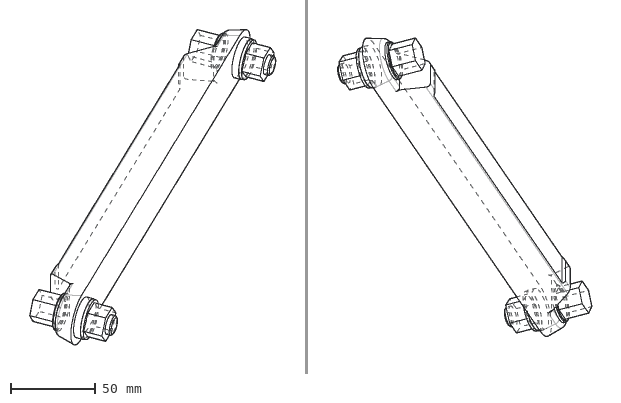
import cadquery as cq
import math

length = 288.0
bar_width = 34.0
draft_angle = 15.0
bar_height = 28.0
pad_height = 12.0
edge_radius = 3.02
bolt_offset = (length - bar_width) / 2

slope_foot = 115.8
slope_angle = 30.0
slope_top = slope_foot - (bar_height - pad_height) * math.tan(math.radians(slope_angle))

recess_depth = 1.5
recess_floor_half = 97.5
recess_mouth_half = 99.5

head_diameter = 20.0
head_end = 29.0
flange_diameter = 23.0
flange_thickness = 2.0
flange_chamfer = 0.5

washer_diameter = 25.0
washer_thickness = 4.3
nut_collar_diameter = 24.5
nut_start = 6.0
nut_end = 17.5
nut_point_width = 22.8
nut_flat_width = 18.5
nut_flat_length = 10.5
stud_diameter = 12.0
stud_end = 21.0
stud_chamfer = 1.0


def tapered_bar(height):
    """Round-ended bar with drafted sides and a rounded upper rim."""
    bar = (
        cq.Workplane("YZ")
        .slot2D(length, bar_width)
        .extrude(-height, taper=draft_angle)
    )
    return bar.faces("<X").edges().fillet(edge_radius)


def side_prism(points):
    """Prism through the whole bar width from an outline in X and Y."""
    return cq.Workplane("XY").polyline(points).close().extrude(bar_width, both=True)


def make_bar():
    middle = side_prism([
        (0, -slope_foot),
        (-pad_height, -slope_foot),
        (-bar_height, -slope_top),
        (-bar_height, slope_top),
        (-pad_height, slope_foot),
        (0, slope_foot),
    ])
    recess_floor = bar_height - recess_depth
    recess = side_prism([
        (-bar_height, -recess_mouth_half),
        (-recess_floor, -recess_floor_half),
        (-recess_floor, recess_floor_half),
        (-bar_height, recess_mouth_half),
    ])
    raised = tapered_bar(bar_height).intersect(middle).cut(recess)
    return tapered_bar(pad_height).union(raised)


def disc(diameter, start, end):
    """Cylinder along X from start to end."""
    return cq.Workplane("YZ", origin=(start, 0, 0)).circle(diameter / 2).extrude(end - start)


def make_fastener():
    """Bolt, washer and nut on the X axis."""
    flange = disc(flange_diameter, -pad_height - flange_thickness, 0)
    flange = flange.faces("<X").chamfer(flange_chamfer)
    head = cq.Workplane("YZ").polygon(6, head_diameter).extrude(-head_end)
    washer = disc(washer_diameter, 0, washer_thickness)
    collar = disc(nut_collar_diameter, 0, nut_start)
    nut_point = nut_point_width / 2
    nut_side = nut_flat_width / 2
    nut_corner = nut_flat_length / 2
    nut = (
        cq.Workplane("YZ")
        .polyline([
            (nut_point, 0),
            (nut_corner, nut_side),
            (-nut_corner, nut_side),
            (-nut_point, 0),
            (-nut_corner, -nut_side),
            (nut_corner, -nut_side),
        ])
        .close()
        .extrude(nut_end)
    )
    stud = disc(stud_diameter, 0, stud_end).faces(">X").chamfer(stud_chamfer)
    return flange.union(head).union(washer).union(collar).union(nut).union(stud)


result = make_bar()
fastener = make_fastener()
for side in (-1, 1):
    result = result.union(fastener.translate((0, side * bolt_offset, 0)))

result = result.translate(((head_end - stud_end) / 2, 0, 0))